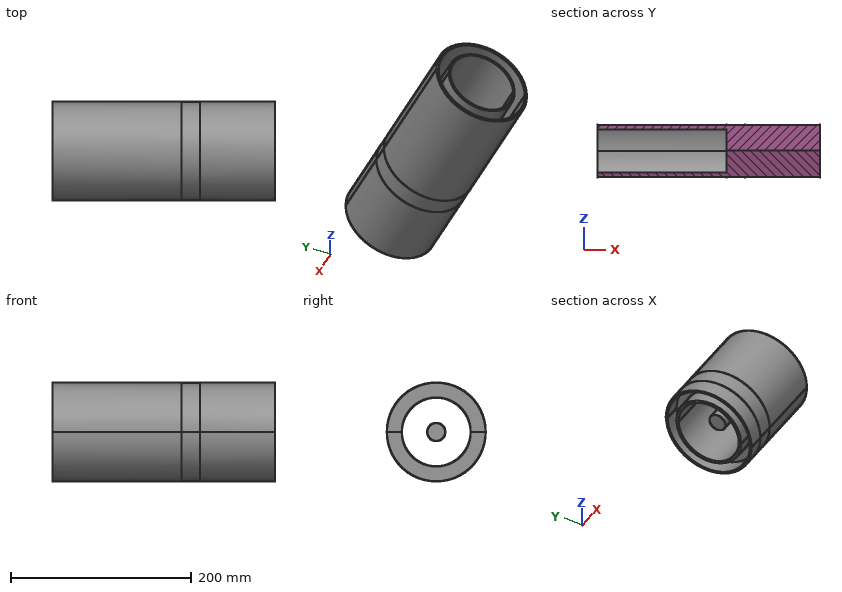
import cadquery as cq

length = 247.0
outer_radius = 54.95
outer_wall = 2.7
bore_radius = 38.0
sleeve_tip_radius = 40.0
sleeve_root_radius = 42.0

ring_start = 143.0
ring_width = 20.5

band_depth = 0.1

rod_radius = 10.1
rod_length = ring_width


def half_shell(start_angle):
    """Double-walled half tube, cut on the plane z = 0."""
    cavity_radius = outer_radius - outer_wall
    profile = (
        cq.Workplane("XY")
        .moveTo(0, bore_radius)
        .lineTo(0, sleeve_tip_radius)
        .lineTo(ring_start, sleeve_root_radius)
        .lineTo(ring_start, cavity_radius)
        .lineTo(0, cavity_radius)
        .lineTo(0, outer_radius)
        .lineTo(length, outer_radius)
        .lineTo(length, bore_radius)
        .close()
    )
    shell = profile.revolve(180, (0, 0, 0), (1, 0, 0))
    shell = shell.cut(band_cutter())
    return shell.rotate((0, 0, 0), (1, 0, 0), start_angle)


def band_cutter():
    """Ring that removes the shallow outside band."""
    return (
        cq.Workplane("YZ", origin=(ring_start, 0, 0))
        .circle(outer_radius + band_depth)
        .circle(outer_radius - band_depth)
        .extrude(ring_width)
    )


def make_rod():
    """Free-standing cylinder on the axis, inside the bore."""
    return cq.Workplane("YZ", origin=(ring_start, 0, 0)).circle(rod_radius).extrude(rod_length)


half_shells = [half_shell(angle).val() for angle in (0, 180)]
rod = make_rod()

result = cq.Compound.makeCompound([*half_shells, rod.val()])